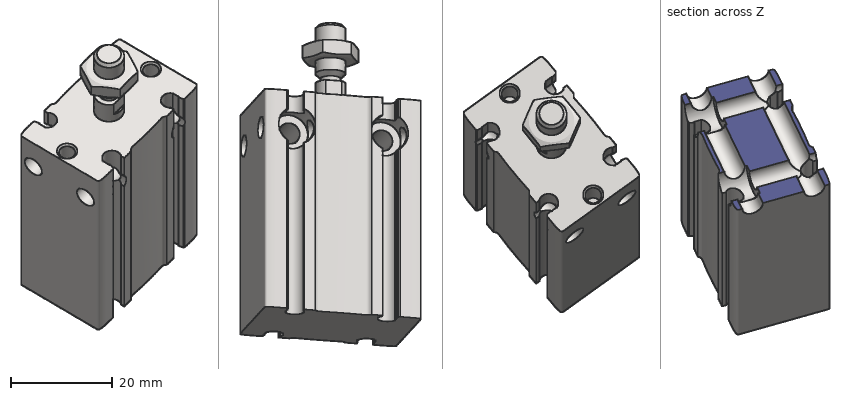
import cadquery as cq
import math

TOTAL_HEIGHT = 62.0
BODY_WIDTH = 20.0
BODY_DEPTH = 32.0
BODY_HEIGHT = 45.0
HALF_WIDTH = BODY_WIDTH / 2
HALF_DEPTH = BODY_DEPTH / 2

CORNER_RADIUS = 0.5
CORNER_EASE_START = 14.0
CORNER_EASE = 0.2
CORNER_TURN_Y = 15.6

SLOT_Y = 9.5
SLOT_CENTRE_X = 8.05
SLOT_RADIUS = 1.9
SLOT_INNER_WALL = 8.0
SLOT_INNER_LIP_X = 9.1
SLOT_ROOF = 11.2
SLOT_OUTER_LIP_X = 8.75
SLOT_OUTER_LIP_Y = 11.1
SLOT_EDGE_X = 9.8
SLOT_EDGE_Y = 11.3
SLOT_MOUTH_Y = 11.6

STEP_START_Y = 5.75
STEP_MIDDLE_X = 9.7
STEP_MIDDLE_Y = 5.4
BULGE_HALF_LENGTH = 4.8
BULGE_EDGE_X = 9.5
BULGE_CENTRE_X = 9.6

MOUNT_HOLE_DIAMETER = 4.3
MOUNT_HOLE_Z = BODY_HEIGHT - 7.05
CROSS_HOLE_X = 6.5
COUNTERBORE_DIAMETER = 7.5
COUNTERBORE_DEPTH = 6.0
TOP_HOLE_Y = 13.5
TOP_HOLE_DIAMETER = 3.2
TOP_HOLE_MOUTH_DIAMETER = 4.0
TOP_HOLE_DEPTH = 6.0

ROD_RADIUS = 6.0 / 2
ROD_TIP_CHAMFER = 0.6
SHOULDER_Z = 50.1
NECK_RADIUS = 4.0 / 2
NECK_FOOT_RADIUS = 4.9 / 2
NECK_FOOT_HEIGHT = 0.1
NECK_TOP_Z = 51.15
THREAD_START_Z = NECK_TOP_Z + ROD_RADIUS - NECK_RADIUS
FLAT_SPACING = 5.0
FLAT_START_Z = 47.05

HEX_SIDES = 6
NUT_ACROSS_FLATS = 10.0
NUT_THICKNESS = 3.2
NUT_BASE_Z = 54.6
NUT_FACE_RADIUS = 9.0 / 2
NUT_CORNER_DROP = 0.4


def slot_circle_offset(distance):
    """Half chord of the round slot at a distance from its centre."""
    return math.sqrt(SLOT_RADIUS**2 - distance**2)


def housing_quarter():
    """Extruded quarter of the housing section, on the +X +Y side of both symmetry planes."""
    inner_lip_y = SLOT_Y - slot_circle_offset(SLOT_INNER_LIP_X - SLOT_CENTRE_X)
    roof_end_x = SLOT_CENTRE_X - slot_circle_offset(SLOT_ROOF - SLOT_Y)
    bulge_sagitta = BULGE_CENTRE_X - BULGE_EDGE_X
    bulge_radius = (BULGE_HALF_LENGTH**2 + bulge_sagitta**2) / (2 * bulge_sagitta)
    half_angle = math.asin(BULGE_HALF_LENGTH / bulge_radius) / 2
    bulge_mid = (
        BULGE_CENTRE_X - bulge_radius * (1 - math.cos(half_angle)),
        bulge_radius * math.sin(half_angle),
    )
    outline = (
        cq.Workplane("XY")
        .lineTo(BULGE_CENTRE_X, 0)
        .threePointArc(bulge_mid, (BULGE_EDGE_X, BULGE_HALF_LENGTH))
        .tangentArcPoint((STEP_MIDDLE_X, STEP_MIDDLE_Y), relative=False)
        .lineTo(HALF_WIDTH, STEP_START_Y)
        .lineTo(HALF_WIDTH, SLOT_INNER_WALL)
        .lineTo(SLOT_INNER_LIP_X, SLOT_INNER_WALL)
        .lineTo(SLOT_INNER_LIP_X, inner_lip_y)
        .threePointArc((SLOT_CENTRE_X - SLOT_RADIUS, SLOT_Y), (roof_end_x, SLOT_ROOF))
        .lineTo(SLOT_OUTER_LIP_X, SLOT_ROOF)
        .lineTo(SLOT_OUTER_LIP_X, SLOT_OUTER_LIP_Y)
        .lineTo(SLOT_EDGE_X, SLOT_EDGE_Y)
        .lineTo(HALF_WIDTH, SLOT_MOUTH_Y)
        .lineTo(HALF_WIDTH, CORNER_EASE_START)
        .tangentArcPoint((HALF_WIDTH - CORNER_EASE, CORNER_TURN_Y), relative=False)
        .tangentArcPoint((HALF_WIDTH - CORNER_EASE - CORNER_RADIUS, HALF_DEPTH), relative=False)
        .lineTo(0, HALF_DEPTH)
        .close()
    )
    return outline.extrude(BODY_HEIGHT)


def make_housing():
    """Slotted block with cross holes, counterbored side holes and blind holes in the top."""
    quarter = housing_quarter()
    half = quarter.union(quarter.mirror("YZ"))
    housing = half.union(half.mirror("XZ")).clean()

    cross_holes = (
        cq.Workplane("XZ", origin=(0, HALF_DEPTH, MOUNT_HOLE_Z))
        .pushPoints([(-CROSS_HOLE_X, 0), (CROSS_HOLE_X, 0)])
        .circle(MOUNT_HOLE_DIAMETER / 2)
        .extrude(BODY_DEPTH)
    )
    side_points = [(-SLOT_Y, 0), (SLOT_Y, 0)]
    side_plane = cq.Workplane("YZ", origin=(-HALF_WIDTH, 0, MOUNT_HOLE_Z)).pushPoints(side_points)
    side_holes = side_plane.circle(MOUNT_HOLE_DIAMETER / 2).extrude(BODY_WIDTH)
    counterbores = side_plane.circle(COUNTERBORE_DIAMETER / 2).extrude(COUNTERBORE_DEPTH)
    housing = housing.cut(cross_holes).cut(side_holes).cut(counterbores)

    return (
        housing.faces(">Z")
        .workplane(origin=(0, 0, BODY_HEIGHT))
        .pushPoints([(0, -TOP_HOLE_Y), (0, TOP_HOLE_Y)])
        .cskHole(TOP_HOLE_DIAMETER, TOP_HOLE_MOUTH_DIAMETER, 90, TOP_HOLE_DEPTH)
    )


def make_rod():
    """Turned rod end standing on the housing, with two wrench flats below its neck."""
    rod = (
        cq.Workplane("XZ")
        .moveTo(0, BODY_HEIGHT)
        .lineTo(ROD_RADIUS, BODY_HEIGHT)
        .lineTo(ROD_RADIUS, SHOULDER_Z)
        .lineTo(NECK_FOOT_RADIUS, SHOULDER_Z)
        .lineTo(NECK_RADIUS, SHOULDER_Z + NECK_FOOT_HEIGHT)
        .lineTo(NECK_RADIUS, NECK_TOP_Z)
        .lineTo(ROD_RADIUS, THREAD_START_Z)
        .lineTo(ROD_RADIUS, TOTAL_HEIGHT - ROD_TIP_CHAMFER)
        .lineTo(ROD_RADIUS - ROD_TIP_CHAMFER, TOTAL_HEIGHT)
        .lineTo(0, TOTAL_HEIGHT)
        .close()
        .revolve(360, (0, 0), (0, 1))
    )
    flat_height = SHOULDER_Z - FLAT_START_Z
    for side in (-1, 1):
        beyond_flat = (
            cq.Workplane("XY", origin=(side * (FLAT_SPACING / 2 + ROD_RADIUS), 0, FLAT_START_Z))
            .rect(2 * ROD_RADIUS, 2 * ROD_RADIUS)
            .extrude(flat_height)
        )
        rod = rod.cut(beyond_flat)
    return rod


def make_nut():
    """Hexagon nut with flats facing X and corners bevelled at both ends."""
    corner_radius = NUT_ACROSS_FLATS / math.sqrt(3)
    top = NUT_BASE_Z + NUT_THICKNESS
    prism = (
        cq.Workplane("XY", origin=(0, 0, NUT_BASE_Z))
        .polygon(HEX_SIDES, 2 * corner_radius)
        .extrude(NUT_THICKNESS)
        .rotate((0, 0, 0), (0, 0, 1), 180 / HEX_SIDES)
    )
    envelope = (
        cq.Workplane("XZ")
        .polyline([
            (ROD_RADIUS, NUT_BASE_Z),
            (NUT_FACE_RADIUS, NUT_BASE_Z),
            (corner_radius, NUT_BASE_Z + NUT_CORNER_DROP),
            (corner_radius, top - NUT_CORNER_DROP),
            (NUT_FACE_RADIUS, top),
            (ROD_RADIUS, top),
        ])
        .close()
        .revolve(360, (0, 0), (0, 1))
    )
    return prism.intersect(envelope)


housing = make_housing()
rod = make_rod()
nut = make_nut()

result = cq.Compound.makeCompound([body.solids().val() for body in (housing, rod, nut)])